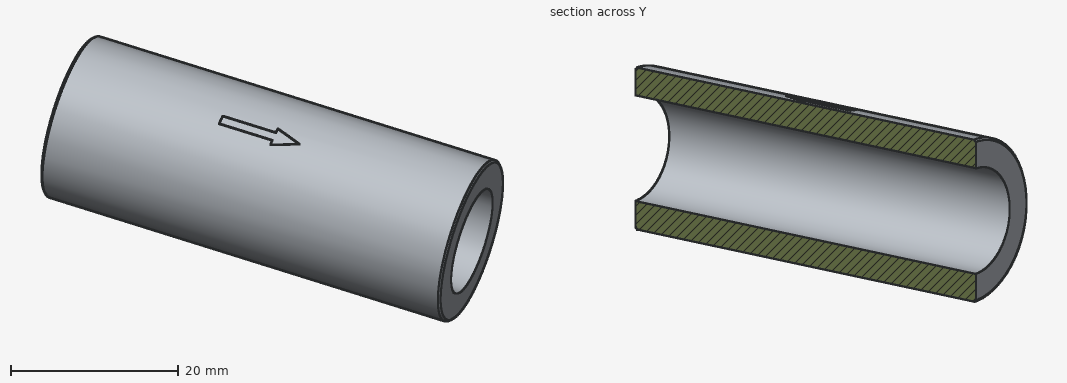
import cadquery as cq

LENGTH = 51.55
OUTER_DIAMETER = 20.2
BORE_DIAMETER = 13.1
END_CHAMFER = 0.25

ARROW_TAIL_X = -6.0
ARROW_CENTER_Y = -1.55
SHAFT_LENGTH = 6.85
SHAFT_WIDTH = 1.15
HEAD_LENGTH = 3.3
HEAD_WIDTH = 2.35
ENGRAVING_DEPTH = 0.1


def cylinder(diameter):
    """Full-length cylinder along X, centred on the origin."""
    return cq.Workplane("YZ", origin=(-LENGTH / 2, 0, 0)).circle(diameter / 2).extrude(LENGTH)


def arrow_engraving():
    """Thin arrow-shaped layer that follows the curve of the outer surface."""
    head_x = ARROW_TAIL_X + SHAFT_LENGTH
    tip_x = head_x + HEAD_LENGTH
    half_shaft = SHAFT_WIDTH / 2
    half_head = HEAD_WIDTH / 2
    outline = [
        (ARROW_TAIL_X, ARROW_CENTER_Y - half_shaft),
        (head_x, ARROW_CENTER_Y - half_shaft),
        (head_x, ARROW_CENTER_Y - half_head),
        (tip_x, ARROW_CENTER_Y),
        (head_x, ARROW_CENTER_Y + half_head),
        (head_x, ARROW_CENTER_Y + half_shaft),
        (ARROW_TAIL_X, ARROW_CENTER_Y + half_shaft),
    ]
    prism = cq.Workplane("XY").polyline(outline).close().extrude(OUTER_DIAMETER)
    return prism.cut(cylinder(OUTER_DIAMETER - 2 * ENGRAVING_DEPTH))


body = cylinder(OUTER_DIAMETER).faces("<X or >X").chamfer(END_CHAMFER)

sleeve = body.cut(cylinder(BORE_DIAMETER))
result = sleeve.cut(arrow_engraving())